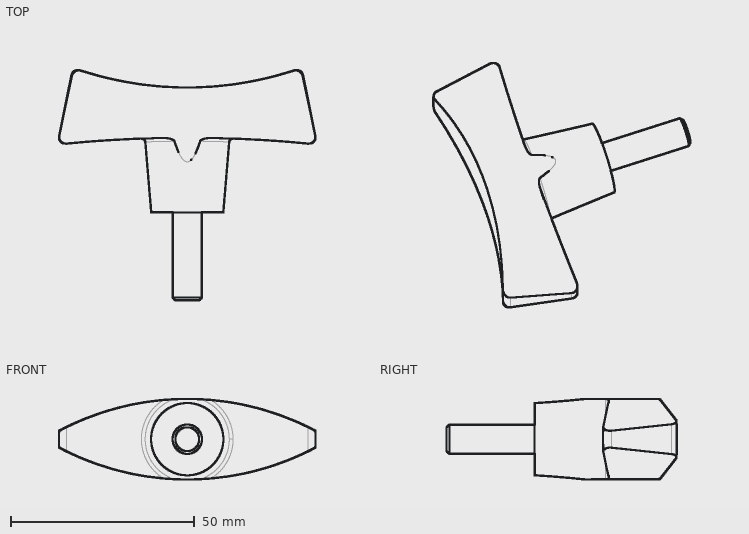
import cadquery as cq
import math


OUTER_MIDDLE_Y = 34.0
OUTER_ARC_RADIUS = 93.5
INNER_MIDDLE_Y = 20.3
INNER_ARC_RADIUS = 333.0
BLANK_HALF_WIDTH = 37.0
BLANK_THICKNESS = 30.0
CORNER_RADIUS = 1.85

INNER_HALF_WIDTH = 35.45
END_LEAN_ANGLE = 11.6
END_CROWN_RADIUS = 40.0

THICKNESS = 22.0
LENS_HALF_WIDTH = 36.0
LENS_TIP_THICKNESS = 3.4

HUB_FACE_DIAMETER = 19.7
HUB_ROOT_DIAMETER = 23.1
NECK_FILLET = 1.0
HUB_EMBEDDED_LENGTH = 3.0

STUD_DIAMETER = 8.0
STUD_LENGTH = 24.0
STUD_CHAMFER = 0.75


def rise(radius, half_chord):
    """Height of an arc of the given radius over a chord."""
    return radius - math.sqrt(radius**2 - half_chord**2)


def make_grip_blank():
    """Prism between the outer and inner arcs, wider and thicker than the finished grip."""
    outer_y = OUTER_MIDDLE_Y + rise(OUTER_ARC_RADIUS, BLANK_HALF_WIDTH)
    inner_y = INNER_MIDDLE_Y - rise(INNER_ARC_RADIUS, BLANK_HALF_WIDTH)
    return (
        cq.Workplane("XY")
        .moveTo(-BLANK_HALF_WIDTH, outer_y)
        .threePointArc((0, OUTER_MIDDLE_Y), (BLANK_HALF_WIDTH, outer_y))
        .lineTo(BLANK_HALF_WIDTH, inner_y)
        .threePointArc((0, INNER_MIDDLE_Y), (-BLANK_HALF_WIDTH, inner_y))
        .close()
        .extrude(BLANK_THICKNESS / 2, both=True)
    )


def make_end_crown():
    """Cylinder whose surface forms the crowned +X end of the grip."""
    lean = math.radians(END_LEAN_ANGLE)
    corner_y = INNER_MIDDLE_Y - rise(INNER_ARC_RADIUS, INNER_HALF_WIDTH)
    along_end = cq.Vector(-math.sin(lean), math.cos(lean), 0)
    inward = cq.Vector(-math.cos(lean), -math.sin(lean), 0)
    corner = cq.Vector(INNER_HALF_WIDTH, corner_y, 0)
    half_length = 2 * BLANK_HALF_WIDTH
    start = corner + inward * END_CROWN_RADIUS - along_end * half_length
    crown = cq.Solid.makeCylinder(END_CROWN_RADIUS, 2 * half_length, start, along_end)
    return cq.Workplane(obj=crown)


def make_hub():
    """Cone frustum that widens toward the grip and ends inside it."""
    face_radius = HUB_FACE_DIAMETER / 2
    root_radius = HUB_ROOT_DIAMETER / 2
    taper = (root_radius - face_radius) / INNER_MIDDLE_Y
    end_y = INNER_MIDDLE_Y + HUB_EMBEDDED_LENGTH
    end_radius = face_radius + taper * end_y
    return (
        cq.Workplane("XY")
        .polyline([(0, 0), (face_radius, 0), (end_radius, end_y), (0, end_y)])
        .close()
        .revolve(360, (0, 0, 0), (0, 1, 0))
    )


def fillet_neck(body):
    """Round the inside corner where the hub meets the grip."""
    reach = HUB_ROOT_DIAMETER / 2 + NECK_FILLET
    neck_zone = cq.selectors.BoxSelector(
        (-reach, INNER_MIDDLE_Y - NECK_FILLET, -reach),
        (reach, INNER_MIDDLE_Y + NECK_FILLET, reach),
        boundingbox=True,
    )
    return body.edges(neck_zone).fillet(NECK_FILLET)


def make_lens_envelope():
    """Lens outline, arched above and below, running the full depth of grip and hub."""
    half_thickness = THICKNESS / 2
    half_tip = LENS_TIP_THICKNESS / 2
    return (
        cq.Workplane("XZ")
        .moveTo(-LENS_HALF_WIDTH, half_tip)
        .threePointArc((0, half_thickness), (LENS_HALF_WIDTH, half_tip))
        .lineTo(LENS_HALF_WIDTH, -half_tip)
        .threePointArc((0, -half_thickness), (-LENS_HALF_WIDTH, -half_tip))
        .close()
        .extrude(-2 * OUTER_MIDDLE_Y)
    )


def round_corners(body):
    """Round the four upright corner edges where the ends meet the outer and inner faces."""
    for side in (-1, 1):
        end_zone = cq.selectors.BoxSelector(
            (side * INNER_HALF_WIDTH / 2, 0, -CORNER_RADIUS),
            (side * BLANK_HALF_WIDTH, 2 * OUTER_MIDDLE_Y, CORNER_RADIUS),
        )
        body = body.edges(end_zone).fillet(CORNER_RADIUS)
    return body


def make_stud():
    """Round stud with a chamfered free end, rooted in the hub."""
    return (
        cq.Workplane("XZ")
        .workplane(offset=-INNER_MIDDLE_Y)
        .circle(STUD_DIAMETER / 2)
        .extrude(INNER_MIDDLE_Y + STUD_LENGTH)
        .faces("<Y")
        .chamfer(STUD_CHAMFER)
    )


end_crown = make_end_crown()
handle = fillet_neck(make_grip_blank().union(make_hub()))
handle = handle.intersect(end_crown).intersect(end_crown.mirror("YZ"))
handle = round_corners(handle.intersect(make_lens_envelope()))
result = handle.union(make_stud())